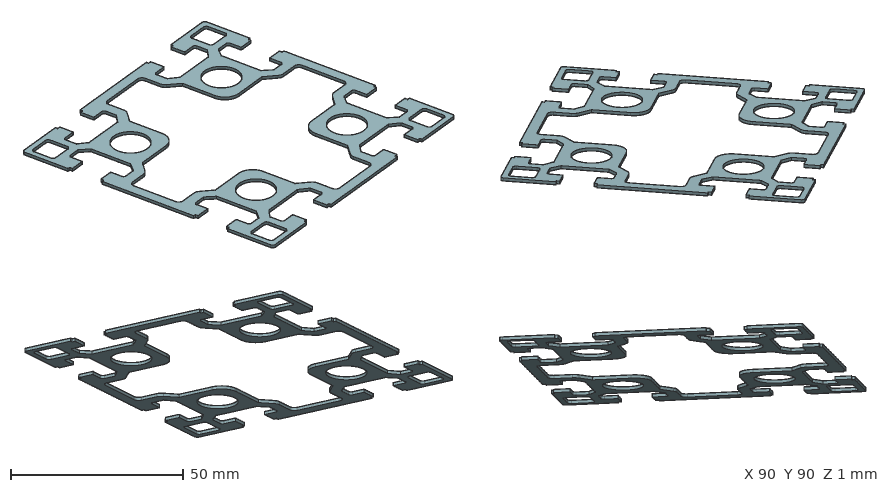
import cadquery as cq

side = 90.0
thickness = 1.0
half = side / 2
core_offset = side / 4
corner_radius = 1.0
bore_diameter = 12.0

hollow_size = 8.0
hollow_wall = 1.9
hollow_radius = 1.0

slot_mouth = 10.2
slot_width = 19.8
slot_floor_width = 14.2
slot_depth = 12.8
slot_wall_end = 10.3
slot_radius = 0.8
lip_thickness = 5.7
lip_step_width = 1.0
lip_step_depth = 0.8

cavity_wall = 3.4
arm_half_width = 9.0
core_gap_half = 13.05
flare_start = 15.4
flare_run = core_gap_half - arm_half_width
arm_end_radius = 1.5
flare_radius = 2.5
core_radius = 5.0


def prism(points):
    """Extrude a closed outline through the plate thickness."""
    return cq.Workplane("XY").polyline(points).close().extrude(thickness)


def round_edges(solid, radius, places):
    """Fillet the vertical edges that stand at the given (x, y) places."""
    reach = 0.1
    for x, y in places:
        box = cq.selectors.BoxSelector(
            (x - reach, y - reach, 0), (x + reach, y + reach, thickness)
        )
        solid = solid.edges("|Z").edges(box).fillet(radius)
    return solid


def mirrored(points):
    """Append the mirror image in X, in reverse, to close a symmetric outline."""
    return points + [(-x, y) for x, y in reversed(points)]


def t_slot():
    """T-slot opening on the +Y side, centred on X = 0."""
    step_half = slot_mouth / 2 + lip_step_width
    right_half = [
        (step_half, half),
        (step_half, half - lip_step_depth),
        (slot_mouth / 2, half - lip_step_depth),
        (slot_mouth / 2, half - lip_thickness),
        (slot_width / 2, half - lip_thickness),
        (slot_width / 2, half - slot_wall_end),
        (slot_floor_width / 2, half - slot_depth),
    ]
    lip_corners = [(sign * slot_width / 2, half - lip_thickness) for sign in (-1, 1)]
    return round_edges(prism(mirrored(right_half)), slot_radius, lip_corners)


def cavity_arm():
    """Arm of the central cavity along Y, wide between the cores and narrow at both ends."""
    arm_end = half - cavity_wall
    core_corner_y = half - flare_start
    flare_end = core_corner_y + flare_run
    right_half = [
        (arm_half_width, arm_end),
        (arm_half_width, flare_end),
        (core_gap_half, core_corner_y),
        (core_gap_half, -core_corner_y),
        (arm_half_width, -flare_end),
        (arm_half_width, -arm_end),
    ]
    ends = [(sx * arm_half_width, sy * arm_end) for sx in (-1, 1) for sy in (-1, 1)]
    flares = [(sx * arm_half_width, sy * flare_end) for sx in (-1, 1) for sy in (-1, 1)]
    arm = round_edges(prism(mirrored(right_half)), arm_end_radius, ends)
    return round_edges(arm, flare_radius, flares)


def central_cavity():
    """Two crossing arms with the inner corners rounded around the cores."""
    arm = cavity_arm()
    cross = arm.union(arm.rotate((0, 0, 0), (0, 0, 1), 90))
    inner_corners = [
        (sx * core_gap_half, sy * core_gap_half) for sx in (-1, 1) for sy in (-1, 1)
    ]
    return round_edges(cross, core_radius, inner_corners)


def corner_hollows():
    """Rounded square hollows near the four outer corners."""
    spacing = side - 2 * hollow_wall - hollow_size
    return (
        cq.Workplane("XY")
        .rarray(spacing, spacing, 2, 2)
        .rect(hollow_size, hollow_size)
        .extrude(thickness)
        .edges("|Z")
        .fillet(hollow_radius)
    )


def core_bores():
    """Round bores through the four cores."""
    return (
        cq.Workplane("XY")
        .rarray(2 * core_offset, 2 * core_offset, 2, 2)
        .circle(bore_diameter / 2)
        .extrude(thickness)
    )


plate = (
    cq.Workplane("XY")
    .rect(side, side)
    .extrude(thickness)
    .edges("|Z")
    .fillet(corner_radius)
)

result = plate.cut(central_cavity()).cut(corner_hollows()).cut(core_bores())

slot = t_slot()
for quarter_turn in range(4):
    for slot_x in (-core_offset, core_offset):
        placed_slot = slot.translate((slot_x, 0, 0))
        result = result.cut(placed_slot.rotate((0, 0, 0), (0, 0, 1), 90 * quarter_turn))